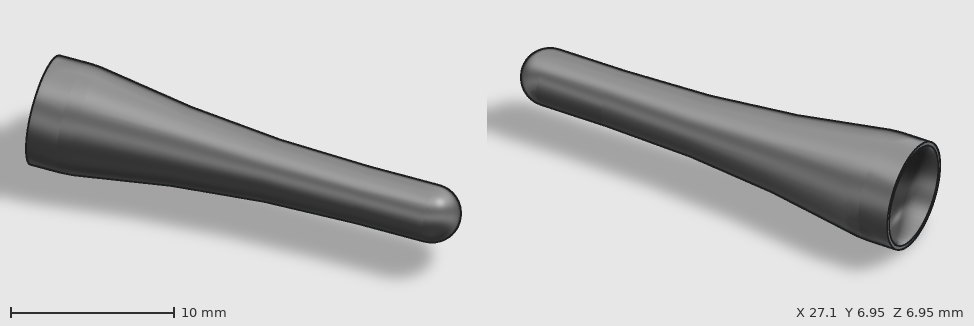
import cadquery as cq
import math

total_length = 27.05
collar_radius = 6.95 / 2
collar_length = 2.0
blend_end = 3.0
neck_start = 20.75
neck_radius = 3.6 / 2
flare_radius = 100.0

bore_radius = 3.22
bore_length = 1.2
bore_blend_radius = 1.0
cone_half_angle = math.radians(45)

dome_start = total_length - neck_radius


def flare_height(x):
    """Radius at position x of the concave flare, which is tangent to the neck."""
    return neck_radius + flare_radius - math.sqrt(flare_radius**2 - (neck_start - x) ** 2)


blend_end_point = (blend_end, flare_height(blend_end))
flare_middle_x = (blend_end + neck_start) / 2
flare_middle_point = (flare_middle_x, flare_height(flare_middle_x))
dome_middle_point = (
    dome_start + neck_radius * math.cos(math.pi / 4),
    neck_radius * math.sin(math.pi / 4),
)

cone_start = bore_length + bore_blend_radius * math.sin(cone_half_angle)
cone_radius = bore_radius - bore_blend_radius * (1 - math.cos(cone_half_angle))
cone_tip = cone_start + cone_radius / math.tan(cone_half_angle)

profile = (
    cq.Workplane("XY")
    .moveTo(0, bore_radius)
    .lineTo(0, collar_radius)
    .lineTo(collar_length, collar_radius)
    .tangentArcPoint(blend_end_point, relative=False)
    .threePointArc(flare_middle_point, (neck_start, neck_radius))
    .lineTo(dome_start, neck_radius)
    .threePointArc(dome_middle_point, (total_length, 0))
    .lineTo(cone_tip, 0)
    .lineTo(cone_start, cone_radius)
    .tangentArcPoint((bore_length, bore_radius), relative=False)
    .close()
)

result = profile.revolve(360, (0, 0, 0), (1, 0, 0))